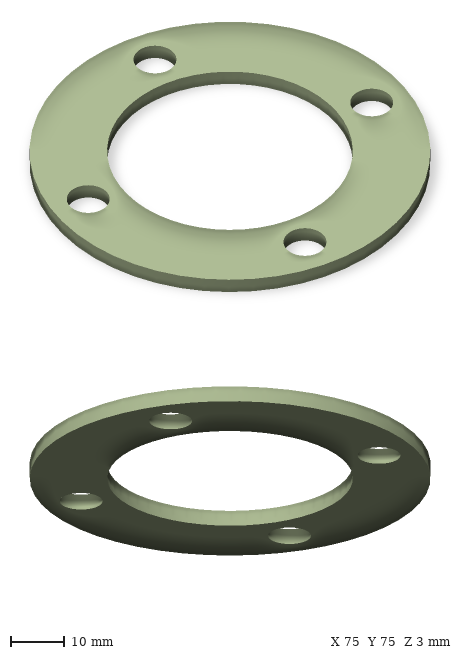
import cadquery as cq

outer_diameter = 75.0
bore_diameter = 46.0
thickness = 3.0

hole_count = 4
hole_diameter = 8.0
bolt_circle_diameter = 60.0

ring = (
    cq.Workplane("XY")
    .circle(outer_diameter / 2)
    .circle(bore_diameter / 2)
    .extrude(thickness)
)

bolt_holes = (
    cq.Workplane("XY")
    .polarArray(bolt_circle_diameter / 2, 0, 360, hole_count)
    .circle(hole_diameter / 2)
    .extrude(thickness)
)

result = ring.cut(bolt_holes)